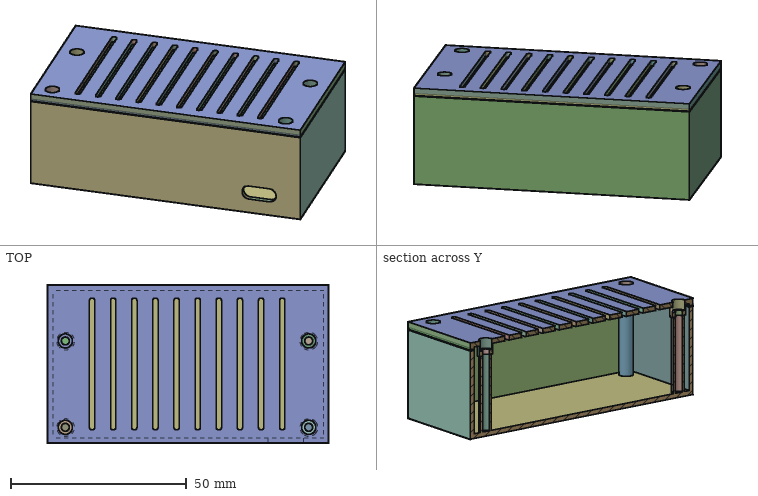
import cadquery as cq

length = 80.0
width = 45.0
height = 28.5

wall = 1.5
floor_thickness = 1.5
plate_thickness = 1.5
rim_height = 0.6
seam_gap = 0.2
plate_bottom = height - plate_thickness
rim_bottom = plate_bottom - rim_height
base_height = rim_bottom - seam_gap

first_screw_x = 5.1
first_screw_y = 4.5
screw_spacing_x = 69.2
screw_spacing_y = 24.6
screw_points = [
    (first_screw_x + column * screw_spacing_x, first_screw_y + row * screw_spacing_y)
    for column in range(2)
    for row in range(2)
]

screw_hole_diameter = 2.2
head_diameter = 4.0
head_depth = 3.0
seat_thickness = 1.5
base_post_diameter = 4.2
lid_post_diameter = 5.0
head_seat = height - head_depth
post_joint = head_seat - seat_thickness

vent_count = 10
vent_width = 1.5
vent_length = 37.5
first_vent_x = 12.7
vent_span = 54.1
vent_pitch = vent_span / (vent_count - 1)

port_width = 10.1
port_height = 4.2
port_x = 67.8
port_z = 6.4


def block(bottom, top, inset=0.0):
    """Block between two heights, inset equally from all four outer sides."""
    size_x = length - 2 * inset
    size_y = width - 2 * inset
    corner = cq.Workplane("XY", origin=(inset, inset, bottom))
    return corner.box(size_x, size_y, top - bottom, centered=False)


def screw_cylinders(diameter, bottom, top):
    """One upright cylinder at every screw position."""
    return (
        cq.Workplane("XY", origin=(0, 0, bottom))
        .pushPoints(screw_points)
        .circle(diameter / 2)
        .extrude(top - bottom)
    )


def port_cutter():
    """Round-ended opening through the front wall."""
    return (
        cq.Workplane("XZ", origin=(port_x, 0, port_z))
        .slot2D(port_width, port_height)
        .extrude(-wall)
    )


def vent_cutters():
    """Row of round-ended slots through the lid plate."""
    centers = [(first_vent_x + i * vent_pitch, width / 2) for i in range(vent_count)]
    return (
        cq.Workplane("XY", origin=(0, 0, plate_bottom))
        .pushPoints(centers)
        .slot2D(vent_length, vent_width, angle=90)
        .extrude(plate_thickness)
    )


def make_base():
    """Open box with four bored screw posts and the connector opening."""
    cavity = block(floor_thickness, base_height, wall)
    posts = screw_cylinders(base_post_diameter, floor_thickness, post_joint)
    bores = screw_cylinders(screw_hole_diameter, floor_thickness, post_joint)
    shell = block(0, base_height).cut(cavity)
    return shell.union(posts).cut(bores).cut(port_cutter())


def make_lid():
    """Slotted plate with a rim and four counterbored screw posts."""
    posts = screw_cylinders(lid_post_diameter, post_joint, height)
    heads = screw_cylinders(head_diameter, head_seat, height)
    holes = screw_cylinders(screw_hole_diameter, post_joint, head_seat)
    plate = block(plate_bottom, height).union(posts)
    plate = plate.cut(heads).cut(holes).cut(vent_cutters())
    rim = block(rim_bottom, plate_bottom).cut(block(rim_bottom, plate_bottom, wall))
    return plate.union(rim, clean=False)


base = make_base()
lid = make_lid()
result = cq.Compound.makeCompound([base.solids().val(), lid.solids().val()])